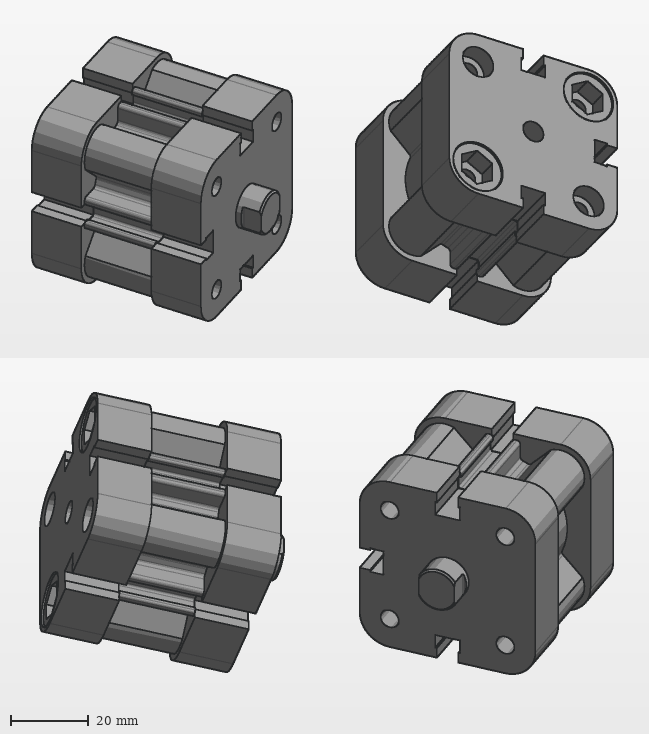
import cadquery as cq
import math

total_length = 56.5
side = 49.5
rod_stickout = 7.0
housing_length = total_length - rod_stickout
cover_thickness = 14.5
corner_radius = 8.5
bolt_offset = side / 2 - corner_radius

envelope_inset = 1.7
barrel_radius = 18.2
lobe_radius = corner_radius - envelope_inset
web_half_width = 6.25
web_root_fillet = 0.9
rail_top = side / 2 - envelope_inset
rail_half_width = 5.0
rail_root_fillet = 1.15
rail_edge_radius = 1.0
mouth_edge_radius = 0.7

slot_angles = [0, -90, 180]
cover_mouth_half = 3.0
cover_ledge_depth = 2.95
cover_groove_half = 3.5
cover_slot_depth = 6.7
barrel_mouth_half = 2.65
barrel_ledge_depth = 3.2
barrel_groove_half = 3.35
barrel_slot_depth = 6.55
barrel_groove_fillet = 0.7

through_hole_diameter = 5.1
bolt_diameter = 14.25
bolt_pocket_diameter = 14.6
bolt_pocket_depth = 8.0
bolt_inset = 0.5
hex_across_flats = 9.0
socket_depth = 5.5
recess_diameter = hex_across_flats
recess_depth = 5.05
center_hole_diameter = 6.0
center_hole_depth = 8.0

rod_diameter = 12.0
rod_flat_width = 10.0
rod_flat_length = 5.4
rod_flat_fillet = 0.2
rod_chamfer = 0.5

bolt_corners = [(-bolt_offset, bolt_offset), (bolt_offset, -bolt_offset)]
recess_corners = [(-bolt_offset, -bolt_offset), (bolt_offset, bolt_offset)]
all_corners = bolt_corners + recess_corners


def section_plane(x):
    """Workplane normal to X, with local axes (Y, Z)."""
    return cq.Workplane("YZ", origin=(x, 0, 0))


def turned(body, angle):
    """The body turned about the X axis; positive angles carry +Z towards +Y."""
    return body.rotate((0, 0, 0), (1, 0, 0), -angle)


def fillet_lengthwise(body, corners, radius):
    """Round the edges along X that run through the given (y, z) corners."""
    mid_x = body.val().Center().x
    for y, z in corners:
        edge = cq.selectors.NearestToPointSelector((mid_x, y, z))
        body = body.edges("|X").edges(edge).fillet(radius)
    return body


def t_slot(x, length, mouth_half, ledge_depth, groove_half, slot_depth):
    """Cutter for an upward-opening T slot that runs along X."""
    face = side / 2
    ledge = face - ledge_depth
    floor = face - slot_depth
    outline = [
        (-groove_half, floor),
        (groove_half, floor),
        (groove_half, ledge),
        (mouth_half, ledge),
        (mouth_half, face),
        (-mouth_half, face),
        (-mouth_half, ledge),
        (-groove_half, ledge),
    ]
    return section_plane(x).polyline(outline).close().extrude(length)


def make_cover(x):
    """Rounded square cover with three T slots."""
    cover = section_plane(x).rect(side, side).extrude(cover_thickness)
    cover = cover.edges("|X").fillet(corner_radius)
    slot = t_slot(
        x, cover_thickness, cover_mouth_half, cover_ledge_depth, cover_groove_half, cover_slot_depth
    )
    for angle in slot_angles:
        cover = cover.cut(turned(slot, angle))
    return cover


def make_barrel():
    """Extruded tube body with four corner lobes and three slotted rails."""
    length = housing_length - 2 * cover_thickness
    start = section_plane(cover_thickness)
    barrel = start.circle(barrel_radius).extrude(length)

    lobe_circles = start.pushPoints(all_corners).circle(lobe_radius).extrude(length)
    lobe_distance = math.sqrt(2) * bolt_offset
    for angle in (45, -45):
        diagonal = start.transformed(rotate=(0, 0, angle))
        web = diagonal.rect(2 * lobe_distance, 2 * web_half_width).extrude(length)
        trim = diagonal.rect(2 * (lobe_distance + lobe_radius), 2 * web_half_width).extrude(length)
        barrel = barrel.union(web).union(lobe_circles.intersect(trim))

    root_angle = math.radians(45) - math.asin(web_half_width / barrel_radius)
    near = barrel_radius * math.sin(root_angle)
    far = barrel_radius * math.cos(root_angle)
    signs = [(sy, sz) for sy in (-1, 1) for sz in (-1, 1)]
    web_roots = [(sy * near, sz * far) for sy, sz in signs] + [(sy * far, sz * near) for sy, sz in signs]
    barrel = fillet_lengthwise(barrel, web_roots, web_root_fillet)

    rail = start.center(0, rail_top / 2).rect(2 * rail_half_width, rail_top).extrude(length)
    for angle in slot_angles:
        barrel = barrel.union(turned(rail, angle))
    rail_root = math.sqrt(barrel_radius**2 - rail_half_width**2)
    slot = t_slot(
        cover_thickness, length, barrel_mouth_half, barrel_ledge_depth, barrel_groove_half, barrel_slot_depth
    )
    groove_floor = side / 2 - barrel_slot_depth
    groove_corners = [(s * barrel_groove_half, groove_floor) for s in (-1, 1)]
    slot = fillet_lengthwise(slot, groove_corners, barrel_groove_fillet)
    for angle in slot_angles:
        barrel = turned(barrel, -angle)
        rail_roots = [(s * rail_half_width, rail_root) for s in (-1, 1)]
        barrel = fillet_lengthwise(barrel, rail_roots, rail_root_fillet)
        barrel = barrel.cut(slot)
        rail_edges = ((rail_half_width, rail_edge_radius), (barrel_mouth_half, mouth_edge_radius))
        for half_width, radius in rail_edges:
            barrel = fillet_lengthwise(barrel, [(s * half_width, rail_top) for s in (-1, 1)], radius)
        barrel = turned(barrel, angle)
    return barrel


def make_housing():
    """Covers and barrel in one piece, with the holes for bolts and rod."""
    rear = section_plane(0)
    front_cover_x = housing_length - cover_thickness
    housing = make_barrel().union(make_cover(0)).union(make_cover(front_cover_x))
    cutters = [
        rear.pushPoints(all_corners).circle(through_hole_diameter / 2).extrude(housing_length),
        rear.pushPoints(bolt_corners).circle(bolt_pocket_diameter / 2).extrude(bolt_pocket_depth),
        rear.pushPoints(recess_corners).circle(recess_diameter / 2).extrude(recess_depth),
        rear.circle(center_hole_diameter / 2).extrude(center_hole_depth),
        section_plane(front_cover_x).circle(rod_diameter / 2).extrude(cover_thickness),
    ]
    for cutter in cutters:
        housing = housing.cut(cutter)
    return housing


def make_bolt(y, z):
    """Hollow round bolt head with a hexagon socket, seated in its pocket."""
    bolt_length = bolt_pocket_depth - bolt_inset
    seat = section_plane(bolt_inset).center(y, z)
    bolt = seat.circle(bolt_diameter / 2).extrude(bolt_length)
    hex_across_corners = hex_across_flats / math.cos(math.pi / 6)
    socket = seat.transformed(rotate=(0, 0, 90)).polygon(6, hex_across_corners).extrude(socket_depth)
    bore = seat.circle(through_hole_diameter / 2).extrude(bolt_length)
    return bolt.cut(socket).cut(bore)


def make_rod():
    """Piston rod with two wrench flats on its free end."""
    rod_start = housing_length - cover_thickness
    rod = section_plane(rod_start).circle(rod_diameter / 2).extrude(total_length - rod_start)
    rod = rod.faces(">X").chamfer(rod_chamfer)
    cutter = section_plane(total_length - rod_flat_length)
    cutter = cutter.center((rod_flat_width + rod_diameter) / 2, 0).rect(rod_diameter, rod_diameter)
    cutter = cutter.extrude(rod_flat_length).edges("<X and <Y").fillet(rod_flat_fillet)
    return rod.cut(cutter).cut(turned(cutter, 180))


housing = make_housing()
bolts = [make_bolt(y, z) for y, z in bolt_corners]
rod = make_rod()

result = cq.Compound.makeCompound([housing.val(), *[bolt.val() for bolt in bolts], rod.val()])